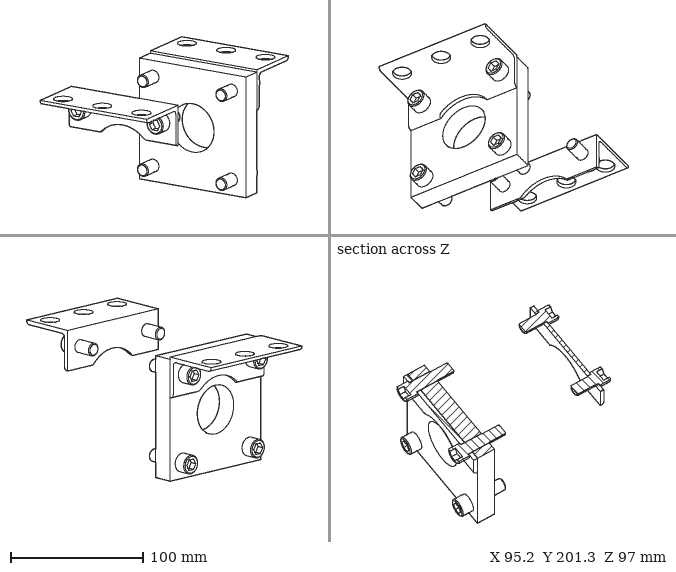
import cadquery as cq
import math

LENGTH = 201.3
WIDTH = 95.2

PLATE_THICKNESS = 15.7
BORE_DIAMETER = 38.0
SCREW_SPACING = 70.0

ANGLE_RISE = 1.8
LONG_LEG = 44.7
SHORT_LEG = 31.8
ANGLE_THICKNESS = 3.5
TIP_RADIUS = 3.0
ROOT_RADIUS = 2.8
RELIEF_RADIUS = 27.2
MOUNT_HOLE_DIAMETER = 14.3
MOUNT_HOLE_INSET = 12.7

SHANK_DIAMETER = 9.9
HEAD_DIAMETER = 14.5
HEAD_LENGTH = 10.0
HEAD_CHAMFER = 0.8
TIP_CHAMFER = 0.8
SOCKET_FLATS = 8.0
SOCKET_DEPTH = 5.0
PROTRUSION = 15.7

ANGLE_TOP = WIDTH + ANGLE_RISE
MID_Z = WIDTH / 2
SCREW_X = SCREW_SPACING / 2
UPPER_SCREW_Z = MID_Z + SCREW_SPACING / 2
LOWER_SCREW_Z = MID_Z - SCREW_SPACING / 2
BACK_FACE_Y = LENGTH / 2 - LONG_LEG
SIDES = (-1, 1)


def cylinder_y(x, z, diameter, y_start, length):
    """Cylinder along +Y that starts at y_start."""
    start = cq.Vector(x, y_start, z)
    return cq.Workplane(cq.Solid.makeCylinder(diameter / 2, length, start, cq.Vector(0, 1, 0)))


def make_plate():
    """Square plate with its bore and four screw holes, set against the rear bracket."""
    front_y = BACK_FACE_Y - PLATE_THICKNESS
    plate = cq.Workplane().box(WIDTH, PLATE_THICKNESS, WIDTH, centered=(True, False, False))
    plate = plate.translate((0, front_y, 0))
    plate = plate.cut(cylinder_y(0, MID_Z, BORE_DIAMETER, front_y, PLATE_THICKNESS))
    for side in SIDES:
        for z in (LOWER_SCREW_Z, UPPER_SCREW_Z):
            plate = plate.cut(cylinder_y(side * SCREW_X, z, SHANK_DIAMETER, front_y, PLATE_THICKNESS))
    return plate


def make_rear_angle():
    """L-shaped bracket with its long leg along +Y and its short leg hanging down."""
    root_y = BACK_FACE_Y + ANGLE_THICKNESS
    root_z = ANGLE_TOP - ANGLE_THICKNESS
    tip_y = BACK_FACE_Y + LONG_LEG
    tip_z = ANGLE_TOP - SHORT_LEG
    profile = (
        cq.Workplane("YZ")
        .moveTo(BACK_FACE_Y, ANGLE_TOP)
        .lineTo(tip_y, ANGLE_TOP)
        .lineTo(tip_y, root_z + TIP_RADIUS)
        .radiusArc((tip_y - TIP_RADIUS, root_z), TIP_RADIUS)
        .lineTo(root_y + ROOT_RADIUS, root_z)
        .radiusArc((root_y, root_z - ROOT_RADIUS), -ROOT_RADIUS)
        .lineTo(root_y, tip_z + TIP_RADIUS)
        .radiusArc((root_y - TIP_RADIUS, tip_z), TIP_RADIUS)
        .lineTo(BACK_FACE_Y, tip_z)
        .close()
    )
    angle = profile.extrude(WIDTH / 2, both=True)

    angle = angle.cut(cylinder_y(0, MID_Z, 2 * RELIEF_RADIUS, BACK_FACE_Y, ANGLE_THICKNESS))

    for side in SIDES:
        angle = angle.cut(
            cylinder_y(side * SCREW_X, UPPER_SCREW_Z, SHANK_DIAMETER, BACK_FACE_Y, ANGLE_THICKNESS)
        )

    mount_y = tip_y - MOUNT_HOLE_INSET
    holes = (
        cq.Workplane("XY", origin=(0, mount_y, root_z))
        .pushPoints([(-SCREW_X, 0), (0, 0), (SCREW_X, 0)])
        .circle(MOUNT_HOLE_DIAMETER / 2)
        .extrude(ANGLE_THICKNESS)
    )
    return angle.cut(holes)


def make_screw(grip):
    """Screw on the Y axis: head toward +Y, seat at y = 0, shank clamping a stack of thickness grip."""
    shank_length = grip + PROTRUSION
    shank = cylinder_y(0, 0, SHANK_DIAMETER, -shank_length, shank_length)
    shank = shank.faces("<Y").chamfer(TIP_CHAMFER)
    head = cylinder_y(0, 0, HEAD_DIAMETER, 0, HEAD_LENGTH)
    head = head.faces(">Y").chamfer(HEAD_CHAMFER)
    socket_corners = SOCKET_FLATS / math.cos(math.pi / 6)
    socket = (
        cq.Workplane("XZ", origin=(0, HEAD_LENGTH, 0))
        .polygon(6, socket_corners)
        .extrude(SOCKET_DEPTH)
    )
    return shank.union(head).cut(socket)


plate = make_plate()
rear_angle = make_rear_angle()
front_angle = rear_angle.mirror("XZ")

angle_seat_y = BACK_FACE_Y + ANGLE_THICKNESS
upper_screw = make_screw(ANGLE_THICKNESS + PLATE_THICKNESS)
lower_screw = make_screw(PLATE_THICKNESS)
front_screw = make_screw(ANGLE_THICKNESS).mirror("XZ")

screws = []
for side in SIDES:
    x = side * SCREW_X
    screws.append(upper_screw.translate((x, angle_seat_y, UPPER_SCREW_Z)).val())
    screws.append(lower_screw.translate((x, BACK_FACE_Y, LOWER_SCREW_Z)).val())
    screws.append(front_screw.translate((x, -angle_seat_y, UPPER_SCREW_Z)).val())

result = cq.Compound.makeCompound([plate.val(), rear_angle.val(), front_angle.val(), *screws])